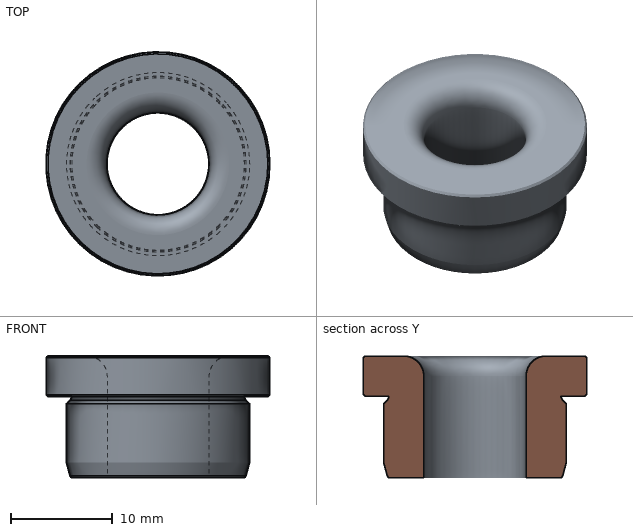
import cadquery as cq
import math

flange_diameter = 22.0
flange_thickness = 4.0
flange_chamfer = 0.2

total_height = 12.0
body_diameter = 18.0

lead_in_height = 1.5
lead_in_angle = 15.0
end_break_height = 0.2
end_break_width = 0.15

shoulder_size = 0.37
relief_cone_height = 0.35
relief_cone_inset = 0.15

bore_diameter = 10.0
mouth_radius = 2.0

flange_radius = flange_diameter / 2
body_radius = body_diameter / 2
bore_radius = bore_diameter / 2

flange_bottom = total_height - flange_thickness
shoulder_top = flange_bottom - relief_cone_height
shoulder_bottom = shoulder_top - shoulder_size
shoulder_radius = body_radius - shoulder_size
neck_radius = shoulder_radius - relief_cone_inset

taper_height = lead_in_height - end_break_height
taper_radius = body_radius - taper_height * math.tan(math.radians(lead_in_angle))
end_radius = taper_radius - end_break_width

mouth_mid_radius = bore_radius + mouth_radius * (1 - math.cos(math.pi / 4))
mouth_mid_height = total_height - mouth_radius * (1 - math.sin(math.pi / 4))

half_section = (
    cq.Workplane("XZ")
    .moveTo(bore_radius, 0)
    .lineTo(end_radius, 0)
    .lineTo(taper_radius, end_break_height)
    .lineTo(body_radius, lead_in_height)
    .lineTo(body_radius, shoulder_bottom)
    .lineTo(shoulder_radius, shoulder_top)
    .lineTo(neck_radius, flange_bottom)
    .lineTo(flange_radius - flange_chamfer, flange_bottom)
    .lineTo(flange_radius, flange_bottom + flange_chamfer)
    .lineTo(flange_radius, total_height - flange_chamfer)
    .lineTo(flange_radius - flange_chamfer, total_height)
    .lineTo(bore_radius + mouth_radius, total_height)
    .threePointArc(
        (mouth_mid_radius, mouth_mid_height),
        (bore_radius, total_height - mouth_radius),
    )
    .close()
)

result = half_section.revolve(360, (0, 0, 0), (0, 1, 0))